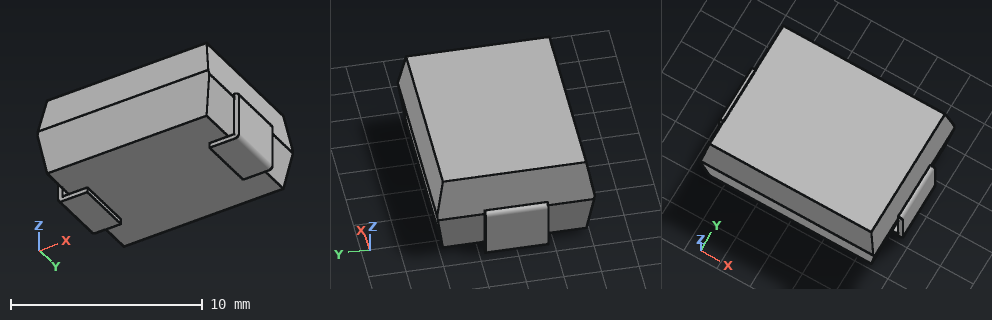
import cadquery as cq

length = 11.12
width = 8.4
height = 5.0

lead_thickness = 0.3
lead_width = 3.34
lead_height = 2.89
foot_length = 1.81
bend_radius = 0.26

end_overlap = 0.01
side_inset = 0.38
body_bottom = lead_thickness
body_length = length - 2 * (lead_thickness - end_overlap)
end_ridge_height = (body_bottom + height) / 2
side_ridge_height = lead_height


def ridged_prism(plane, span, ridge_height, depth):
    """Hexagonal profile, widest at the ridge, extruded both ways from its plane."""
    ridge = span / 2
    flat = ridge - side_inset
    return (
        cq.Workplane(plane)
        .polyline([
            (-flat, body_bottom),
            (flat, body_bottom),
            (ridge, ridge_height),
            (flat, height),
            (-flat, height),
            (-ridge, ridge_height),
        ])
        .close()
        .extrude(depth / 2, both=True)
    )


def left_lead():
    """L-shaped strip with a rounded outer bend and a rounded outer top edge."""
    outer = -length / 2
    inner = outer + lead_thickness
    foot_end = outer + foot_length
    strip = (
        cq.Workplane("XZ")
        .polyline([
            (outer, 0),
            (foot_end, 0),
            (foot_end, lead_thickness),
            (inner, lead_thickness),
            (inner, lead_height),
            (outer, lead_height),
        ])
        .close()
        .extrude(lead_width / 2, both=True)
    )
    return strip.faces("<X").edges("|Y").fillet(bend_radius)


end_profile = ridged_prism("XZ", body_length, end_ridge_height, width)
side_profile = ridged_prism("YZ", width, side_ridge_height, body_length)
body = end_profile.intersect(side_profile)

lead = left_lead()
result = body.union(lead).union(lead.mirror("YZ"))